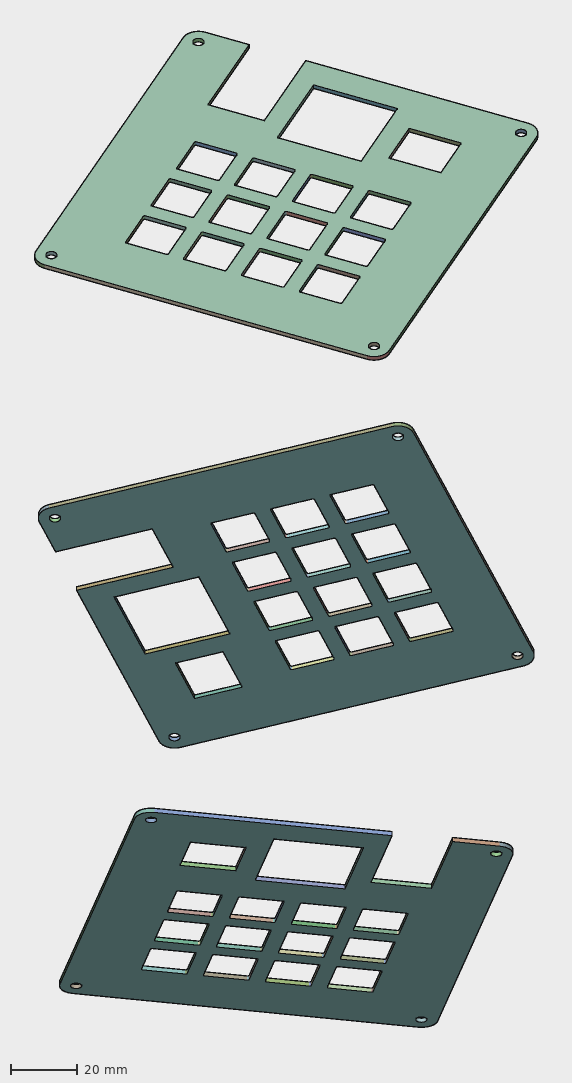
import cadquery as cq

width = 116.4
length = 120.0
thickness = 1.5
corner_radius = 5.0

screw_diameter = 3.4
screw_inset = corner_radius

key_columns = 4
key_rows = 3
key_pitch = 19.1
key_size = 14.0
key_corner_radius = 0.5
key_grid_x = 0.5
key_grid_y = -14.5

notch_width = 18.6
notch_depth = 31.0
notch_left_x = -38.6

large_window_width = 27.6
large_window_length = 27.1
large_window_x = 0.6
large_window_y = 36.8

small_window_width = 17.2
small_window_length = 15.2
small_window_x = 30.0
small_window_y = 35.6


def block(size_x, size_y, x, y):
    """Full-thickness block centred at (x, y), standing on Z = 0."""
    return (
        cq.Workplane("XY")
        .center(x, y)
        .rect(size_x, size_y)
        .extrude(thickness)
    )


def rounded_block(size_x, size_y, x, y, radius):
    """Full-thickness block with rounded vertical edges."""
    return block(size_x, size_y, x, y).edges("|Z").fillet(radius)


def screw_holes():
    return (
        cq.Workplane("XY")
        .rect(width - 2 * screw_inset, length - 2 * screw_inset, forConstruction=True)
        .vertices()
        .circle(screw_diameter / 2)
        .extrude(thickness)
    )


plate = rounded_block(width, length, 0, 0, corner_radius)
plate = plate.cut(screw_holes())

plate = plate.cut(
    block(notch_width, notch_depth, notch_left_x + notch_width / 2, (length - notch_depth) / 2)
)
plate = plate.cut(block(large_window_width, large_window_length, large_window_x, large_window_y))
plate = plate.cut(block(small_window_width, small_window_length, small_window_x, small_window_y))

for column in range(key_columns):
    for row in range(key_rows):
        key_x = key_grid_x + (column - (key_columns - 1) / 2) * key_pitch
        key_y = key_grid_y + (row - (key_rows - 1) / 2) * key_pitch
        plate = plate.cut(rounded_block(key_size, key_size, key_x, key_y, key_corner_radius))

result = plate